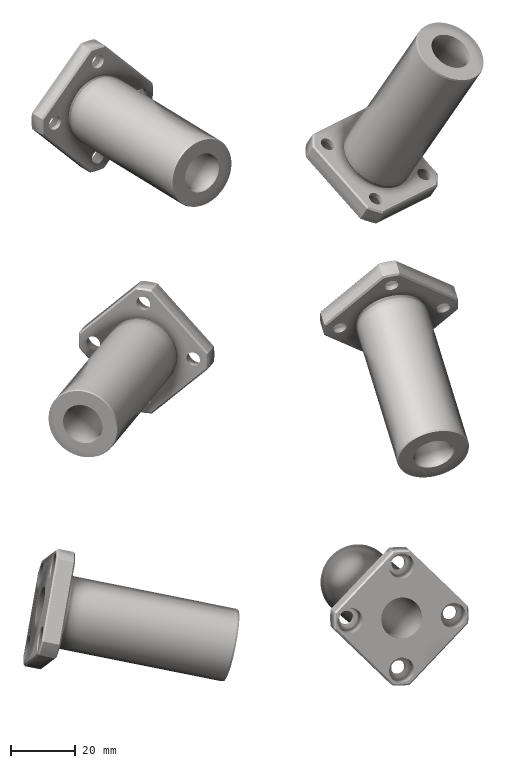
import cadquery as cq
import math

total_length = 61.0
flange_thickness = 6.0
flange_side = 34.0
flange_corner_diameter = 43.0
flange_chamfer = 0.5

sleeve_diameter = 23.0
bore_diameter = 13.0
groove_width = 1.3
groove_depth = 0.32
groove_flange_depth = 0.25
end_taper_length = 0.6
end_taper_depth = 0.2

screw_circle_diameter = 33.0
screw_hole_diameter = 4.5
counterbore_diameter = 8.0
counterbore_depth = 4.4
screw_hole_count = 4


def make_flange():
    square = cq.Workplane("YZ").rect(flange_side, flange_side).extrude(flange_thickness)
    square = square.rotate((0, 0, 0), (1, 0, 0), 45)
    disc = cq.Workplane("YZ").circle(flange_corner_diameter / 2).extrude(flange_thickness)
    return square.intersect(disc).faces("<X or >X").chamfer(flange_chamfer)


def make_sleeve():
    """Revolve the half profile (x, radius) of the sleeve around the X axis."""
    sleeve_radius = sleeve_diameter / 2
    sleeve_start = flange_thickness / 2
    groove_start_radius = sleeve_radius - groove_flange_depth
    groove_middle = (flange_thickness + groove_width / 2, sleeve_radius - groove_depth)
    groove_end = (flange_thickness + groove_width, sleeve_radius)
    profile = (
        cq.Workplane("XY")
        .moveTo(sleeve_start, 0)
        .lineTo(sleeve_start, groove_start_radius)
        .lineTo(flange_thickness, groove_start_radius)
        .threePointArc(groove_middle, groove_end)
        .lineTo(total_length - end_taper_length, sleeve_radius)
        .lineTo(total_length, sleeve_radius - end_taper_depth)
        .lineTo(total_length, 0)
        .close()
    )
    return profile.revolve(360, (0, 0, 0), (1, 0, 0))


def cut_bore(body):
    bore = cq.Workplane("YZ").circle(bore_diameter / 2).extrude(total_length)
    return body.cut(bore)


def cut_screw_holes(body):
    for index in range(screw_hole_count):
        angle = 2 * math.pi * index / screw_hole_count
        y = screw_circle_diameter / 2 * math.cos(angle)
        z = screw_circle_diameter / 2 * math.sin(angle)
        hole_center = cq.Workplane("YZ").center(y, z)
        hole = hole_center.circle(screw_hole_diameter / 2).extrude(flange_thickness)
        counterbore = hole_center.circle(counterbore_diameter / 2).extrude(counterbore_depth)
        body = body.cut(hole).cut(counterbore)
    return body


result = cut_screw_holes(cut_bore(make_flange().union(make_sleeve())))